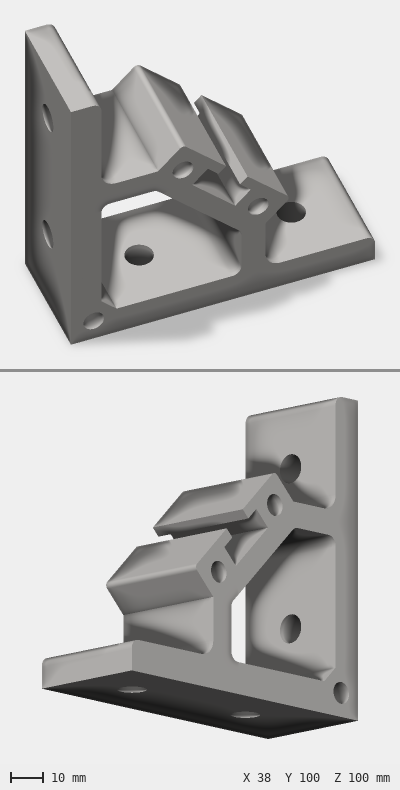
import cadquery as cq
import math

width = 38.0
leg_length = 100.0
leg_thickness = 10.0
web_inner = 56.0
web_thickness = 8.0
brace_start = 28.0
corner_chamfer = 5.0

head_width = 50.0
brace_floor = 7.0
slot_depth = 7.2
lip_thickness = 3.5
slot_width = 20.0
slot_opening = 10.0

tip_radius = 3.0
outer_web_radius = 5.0
window_radius = 3.0
head_radius = 1.5

core_diameter = 6.8
corner_core_offset = 7.5
head_core_spacing = 35.0
head_core_height = 10.2
bolt_diameter = 9.0
bolt_positions = (30.0, 80.0)

web_outer = web_inner + web_thickness
chamfer_start = leg_thickness + corner_chamfer
head_foot = web_outer - head_width / math.sqrt(2)
diagonal_distance = (web_inner + brace_start) / math.sqrt(2)
floor_height = diagonal_distance + brace_floor
lip_height = floor_height + slot_depth
head_height = lip_height + lip_thickness


def prism(points):
    """Extrude a closed (Y, Z) outline across the full width."""
    return cq.Workplane("YZ").polyline(points).close().extrude(width)


def diagonal_point(along, height):
    """Convert position along and distance outward of the diagonal to (Y, Z)."""
    return ((height + along) / math.sqrt(2), (height - along) / math.sqrt(2))


def diagonal_block(block_width, bottom, top):
    """Full-width block centred on the diagonal symmetry plane."""
    half = block_width / 2
    corners = ((-half, bottom), (half, bottom), (half, top), (-half, top))
    return prism([diagonal_point(*corner) for corner in corners])


def round_edges(body, points, radius):
    """Fillet the X-direction edges that pass through the given (Y, Z) points."""
    for y, z in points:
        body = body.edges(cq.selectors.NearestToPointSelector((width / 2, y, z))).fillet(radius)
    return body


def mirrored(point):
    """Return a (Y, Z) point with its mirror image across Y = Z."""
    return (point, point[::-1])


def make_legs_and_webs():
    body = prism([
        (0, 0),
        (leg_length, 0),
        (leg_length, leg_thickness),
        (web_outer, leg_thickness),
        (web_outer, head_foot),
        (head_foot, web_outer),
        (leg_thickness, web_outer),
        (leg_thickness, leg_length),
        (0, leg_length),
    ])
    body = round_edges(body, mirrored((leg_length, leg_thickness)), tip_radius)
    return round_edges(body, mirrored((web_outer, leg_thickness)), outer_web_radius)


def make_head():
    head = diagonal_block(head_width, diagonal_distance, head_height)
    return round_edges(head, mirrored(diagonal_point(head_width / 2, head_height)), head_radius)


def make_window():
    window = prism([
        (chamfer_start, leg_thickness),
        (web_inner, leg_thickness),
        (web_inner, brace_start),
        (brace_start, web_inner),
        (leg_thickness, web_inner),
        (leg_thickness, chamfer_start),
    ])
    rounded = mirrored((web_inner, leg_thickness)) + mirrored((web_inner, brace_start))
    return round_edges(window, rounded, window_radius)


def make_t_slot():
    cavity = diagonal_block(slot_width, floor_height, lip_height)
    opening = diagonal_block(slot_opening, floor_height, head_height)
    return cavity.union(opening)


def make_core_holes():
    head_core = diagonal_point(head_core_spacing / 2, diagonal_distance + head_core_height)
    centres = [(corner_core_offset, corner_core_offset), *mirrored(head_core)]
    return cq.Workplane("YZ").pushPoints(centres).circle(core_diameter / 2).extrude(width)


def make_bolt_holes():
    """Holes through the thickness of both legs, on the middle of the width."""
    centres = [(width / 2, position) for position in bolt_positions]
    base = cq.Workplane("XY").pushPoints(centres).circle(bolt_diameter / 2).extrude(leg_thickness)
    upright = cq.Workplane("XZ").pushPoints(centres).circle(bolt_diameter / 2).extrude(-leg_thickness)
    return base.union(upright)


result = (
    make_legs_and_webs()
    .union(make_head())
    .cut(make_window())
    .cut(make_t_slot())
    .cut(make_core_holes())
    .cut(make_bolt_holes())
)